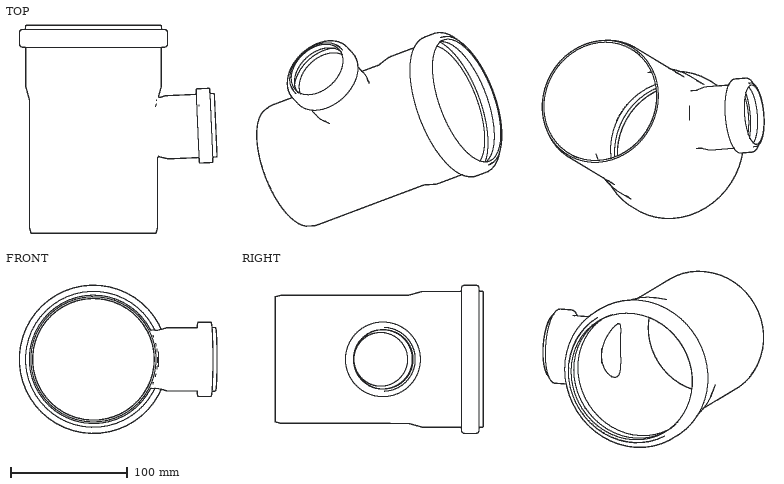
import cadquery as cq
import math


TOTAL_LENGTH = 179.0
SOCKET_MOUTH_Y = 90.5
SPIGOT_END_Y = SOCKET_MOUTH_Y - TOTAL_LENGTH
PIPE_OUTER_D = 110.3
PIPE_BORE_D = 104.3
SPIGOT_CHAMFER_LENGTH = 5.0
SPIGOT_CHAMFER_ANGLE = 15.0

MAIN_SOCKET = dict(
    wall=2.9,
    tube_d=116.8,
    lip_d=117.1,
    collar_d=127.6,
    mouth_radius=1.2,
    foot_radius=0.9,
    collar_radius=2.9,
    collar_front=3.6,
    collar_back=19.0,
    cone_front=52.7,
    cone_back=64.4,
)

BRANCH_RAKE = 2.5
BRANCH_LENGTH = 105.23
BRANCH_OUTER_D = 50.0
BRANCH_BORE_D = 46.2
JUNCTION_RADIUS = 0.9
JUNCTION_MARGIN = 4.0

BRANCH_SOCKET = dict(
    wall=1.9,
    tube_d=54.6,
    lip_d=54.9,
    collar_d=64.1,
    mouth_radius=1.0,
    foot_radius=1.0,
    collar_radius=1.0,
    collar_front=3.8,
    collar_back=15.6,
    cone_front=42.0,
    cone_back=50.2,
)

OUTWARD = (1, 0)
INWARD = (-1, 0)
BACKWARD = (0, -1)


def rounded_corner(sketch, corner, entry, leave, radius):
    """Line to a right-angled corner and round it; entry and leave are unit directions."""
    start = (corner[0] - radius * entry[0], corner[1] - radius * entry[1])
    end = (corner[0] + radius * leave[0], corner[1] + radius * leave[1])
    bulge = radius * (1 - math.sqrt(0.5))
    middle = (
        corner[0] + bulge * (leave[0] - entry[0]),
        corner[1] + bulge * (leave[1] - entry[1]),
    )
    return sketch.lineTo(*start).threePointArc(middle, end)


def socket_outside(mouth, socket):
    """Outline of a socket's outside, from the centre of its mouth back to its cone."""
    lip_r = socket["lip_d"] / 2
    tube_r = socket["tube_d"] / 2
    collar_r = socket["collar_d"] / 2
    front = mouth - socket["collar_front"]
    back = mouth - socket["collar_back"]
    corners = [
        ((lip_r, mouth), OUTWARD, BACKWARD, socket["mouth_radius"]),
        ((lip_r, front), BACKWARD, OUTWARD, socket["foot_radius"]),
        ((collar_r, front), OUTWARD, BACKWARD, socket["collar_radius"]),
        ((collar_r, back), BACKWARD, INWARD, socket["collar_radius"]),
        ((tube_r, back), INWARD, BACKWARD, socket["foot_radius"]),
    ]
    sketch = cq.Workplane("XY").moveTo(0, mouth)
    for corner, entry, leave, radius in corners:
        sketch = rounded_corner(sketch, corner, entry, leave, radius)
    return sketch.lineTo(tube_r, mouth - socket["cone_front"])


def socket_inside(mouth, socket):
    """Outline of a socket's bore with its seal-ring groove, one wall inside the outside."""
    wall = socket["wall"]
    lip_r = socket["lip_d"] / 2 - wall
    tube_r = socket["tube_d"] / 2 - wall
    groove_r = socket["collar_d"] / 2 - wall
    front = mouth - socket["collar_front"] - wall
    back = mouth - socket["collar_back"] + wall
    return (
        cq.Workplane("XY")
        .moveTo(0, mouth)
        .lineTo(lip_r, mouth)
        .lineTo(lip_r, front)
        .lineTo(groove_r, front)
        .lineTo(groove_r, back)
        .lineTo(tube_r, back)
        .lineTo(tube_r, mouth - socket["cone_front"])
    )


def revolve_about_y(sketch):
    """Close a half section along the Y axis and revolve it."""
    return sketch.close().revolve(360, (0, 0, 0), (0, 1, 0))


def main_outside():
    """Solid envelope of the main run: socket, cone, pipe and chamfered spigot end."""
    chamfer_depth = SPIGOT_CHAMFER_LENGTH * math.tan(math.radians(SPIGOT_CHAMFER_ANGLE))
    pipe_r = PIPE_OUTER_D / 2
    sketch = (
        socket_outside(SOCKET_MOUTH_Y, MAIN_SOCKET)
        .lineTo(pipe_r, SOCKET_MOUTH_Y - MAIN_SOCKET["cone_back"])
        .lineTo(pipe_r, SPIGOT_END_Y + SPIGOT_CHAMFER_LENGTH)
        .lineTo(pipe_r - chamfer_depth, SPIGOT_END_Y)
        .lineTo(0, SPIGOT_END_Y)
    )
    return revolve_about_y(sketch)


def main_bore():
    """Space inside the main run, open at both ends."""
    bore_r = PIPE_BORE_D / 2
    sketch = (
        socket_inside(SOCKET_MOUTH_Y, MAIN_SOCKET)
        .lineTo(bore_r, SOCKET_MOUTH_Y - MAIN_SOCKET["cone_back"])
        .lineTo(bore_r, SPIGOT_END_Y)
        .lineTo(0, SPIGOT_END_Y)
    )
    return revolve_about_y(sketch)


def branch_solid(socket_outline, root_d):
    """Continue a socket outline to the main axis, revolve it and swing it to its direction."""
    root_r = root_d / 2
    sketch = (
        socket_outline.lineTo(root_r, BRANCH_LENGTH - BRANCH_SOCKET["cone_back"])
        .lineTo(root_r, 0)
        .lineTo(0, 0)
    )
    return revolve_about_y(sketch).rotate((0, 0, 0), (0, 0, 1), BRANCH_RAKE - 90)


def junction_edges(tee):
    """Edges where the branch runs into the outside of the main run."""
    half_span = BRANCH_OUTER_D / 2 + JUNCTION_MARGIN
    zone = cq.selectors.BoxSelector(
        (0, -half_span, -half_span),
        (MAIN_SOCKET["tube_d"] / 2, half_span, half_span),
        boundingbox=True,
    )
    branch_rings = cq.selectors.TypeSelector("CIRCLE")
    return tee.edges(zone - branch_rings)


branch_outside = branch_solid(socket_outside(BRANCH_LENGTH, BRANCH_SOCKET), BRANCH_OUTER_D)
branch_bore = branch_solid(socket_inside(BRANCH_LENGTH, BRANCH_SOCKET), BRANCH_BORE_D)

tee = main_outside().union(branch_outside)
tee = junction_edges(tee).fillet(JUNCTION_RADIUS)
result = tee.cut(main_bore()).cut(branch_bore)